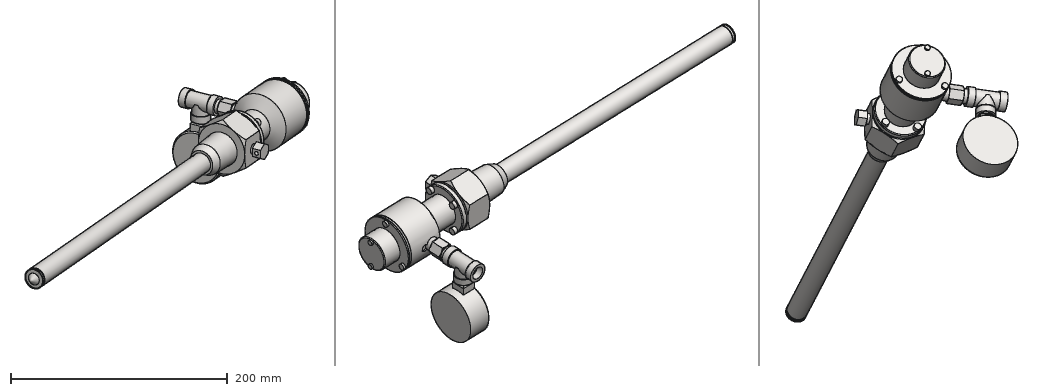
import cadquery as cq
import math

TOTAL_LENGTH = 468.5

ROD_DIA = 19.5
TIP_DIA = 11.5
TIP_LENGTH = TIP_DIA / 2
ROD_GROOVE_DIA = 18.3
ROD_GROOVE_START = 6.5
ROD_GROOVE_END = 9.5

NOSE_START = 302.5
NOSE_DIA = 24.5
TAPER_START = 310.5
TAPER_SMALL_DIA = 31.0
TAPER_LARGE_DIA = 33.5

NUT_START = 338.0
NUT_END = 366.2
NUT_FLATS = 50.0
HEX_BEVEL_ANGLE = 30
JOINT_DIA = 44.0
FLANGE_START = 368.0
FLANGE_END = 373.5
FLANGE_DIA = NUT_FLATS
FLANGE_EDGE_CHAMFER = 1.0
FLANGE_SCREW_CIRCLE = 43.0
FLANGE_SCREW_DIA = 7.0
FLANGE_SCREW_HEIGHT = 4.0

NECK_DIA = 31.5
SHOULDER_START = 398.0
BODY_START = 405.5
BODY_DIA = 57.0
COVER_GROOVE_START = 442.5
COVER_GROOVE_END = 445.0
COVER_GROOVE_DEPTH = 0.5
COVER_END = 447.0
COVER_SCREW_CIRCLE = 50.5
COVER_SCREW_DIA = 6.0
COVER_SCREW_HEIGHT = 2.5

CAP_DIA = 35.0
CAP_END = 466.5
CAP_EDGE_CHAMFER = 1.0
CAP_SCREW_CIRCLE = 28.0
CAP_SCREW_DIA = 5.0

RECESS_Y = 425.3
RECESS_DIA = 7.0
RECESS_DEPTH = 2.0

PLUG_Y = 353.5
PLUG_FLATS = 14.0
PLUG_START = 28.0
PLUG_END = 37.0
PLUG_STEM_DIA = 10.5
PLUG_HOLE_DIA = 3.7

BRANCH_Y = 416.0
STEM_DIA = 14.0
BRANCH_HEX_FLATS = 16.0
BRANCH_HEX_INNER = -33.3
BRANCH_HEX_OUTER = -47.5
TEE_X = -70.0
TEE_HALF_LENGTH = 18.5
TEE_DIA = 16.5
TEE_BAND_DIA = 18.5
TEE_BAND_WIDTH = 7.0
TEE_BORE_DIA = 12.5
TEE_BORE_DEPTH = 7.0

LEG_DIA = 17.0
LEG_BAND_TOP = -11.2
LEG_BAND_BOTTOM = -18.3
SHANK_TOP = -19.5
SHANK_TOP_CHAMFER = 1.5
SHANK_SIDE = 14.5
GAUGE_Z = -54.0
GAUGE_DIA = 52.5
GAUGE_FRONT = 407.5
GAUGE_BACK = 432.5
GAUGE_RIM_CHAMFER = 1.5


def rod_along_y(dia, start, end, x=0.0, z=0.0):
    plane = cq.Plane(origin=(x, start, z), xDir=(1, 0, 0), normal=(0, 1, 0))
    return cq.Workplane(plane).circle(dia / 2).extrude(end - start)


def rod_along_x(dia, start, end, y):
    return cq.Workplane("YZ", origin=(start, y, 0)).circle(dia / 2).extrude(end - start)


def leg_along_z(dia, top, bottom):
    return cq.Workplane("XY", origin=(TEE_X, BRANCH_Y, top)).circle(dia / 2).extrude(bottom - top)


def turned_stack():
    """Everything revolved about the main axis, from the tip up to the cap."""
    outline = [
        (0, 0),
        (TIP_DIA / 2, TIP_LENGTH),
        (ROD_DIA / 2, TIP_LENGTH),
        (ROD_DIA / 2, ROD_GROOVE_START),
        (ROD_GROOVE_DIA / 2, ROD_GROOVE_START),
        (ROD_GROOVE_DIA / 2, ROD_GROOVE_END),
        (ROD_DIA / 2, ROD_GROOVE_END),
        (ROD_DIA / 2, NOSE_START),
        (NOSE_DIA / 2, NOSE_START),
        (TAPER_SMALL_DIA / 2, TAPER_START),
        (TAPER_LARGE_DIA / 2, NUT_START),
        (JOINT_DIA / 2, NUT_START),
        (JOINT_DIA / 2, FLANGE_START),
        (FLANGE_DIA / 2, FLANGE_START),
        (FLANGE_DIA / 2, FLANGE_END - FLANGE_EDGE_CHAMFER),
        (FLANGE_DIA / 2 - FLANGE_EDGE_CHAMFER, FLANGE_END),
        (NECK_DIA / 2, FLANGE_END),
        (NECK_DIA / 2, SHOULDER_START),
        (BODY_DIA / 2, BODY_START),
        (BODY_DIA / 2, COVER_GROOVE_START),
        (BODY_DIA / 2 - COVER_GROOVE_DEPTH, COVER_GROOVE_START),
        (BODY_DIA / 2 - COVER_GROOVE_DEPTH, COVER_GROOVE_END),
        (BODY_DIA / 2, COVER_GROOVE_END),
        (BODY_DIA / 2, COVER_END),
        (CAP_DIA / 2, COVER_END),
        (CAP_DIA / 2, CAP_END - CAP_EDGE_CHAMFER),
        (CAP_DIA / 2 - CAP_EDGE_CHAMFER, CAP_END),
        (0, CAP_END),
    ]
    return cq.Workplane("XY").polyline(outline).close().revolve(360, (0, 0), (0, 1))


def hexagon(plane, flats, length, bevel_near=False, bevel_far=False):
    """Hexagon with a corner on local X; a bevelled end is turned down to a circle touching the flats."""
    corner_radius = flats / math.sqrt(3)
    prism = cq.Workplane(plane).polygon(6, 2 * corner_radius).extrude(length)
    bevel_length = (corner_radius - flats / 2) * math.tan(math.radians(HEX_BEVEL_ANGLE))
    near_radius = flats / 2 if bevel_near else corner_radius
    far_radius = flats / 2 if bevel_far else corner_radius
    outline = [(0, 0), (near_radius, 0)]
    if bevel_near:
        outline.append((corner_radius, bevel_length))
    if bevel_far:
        outline.append((corner_radius, length - bevel_length))
    outline += [(far_radius, length), (0, length)]
    half_plane = cq.Plane(origin=plane.origin, xDir=plane.xDir, normal=-plane.yDir)
    turned = cq.Workplane(half_plane).polyline(outline).close().revolve(360, (0, 0), (0, 1))
    return prism.intersect(turned)


def union_nut():
    plane = cq.Plane(origin=(0, NUT_START, 0), xDir=(0, 0, 1), normal=(0, 1, 0))
    return hexagon(plane, NUT_FLATS, NUT_END - NUT_START, bevel_near=True, bevel_far=True)


def screw_heads(count, first_angle, circle_dia, head_dia, start, end):
    """Round heads evenly spaced about the main axis; the angle is measured from +X towards +Z."""
    heads = cq.Workplane("XY")
    for i in range(count):
        angle = math.radians(first_angle + i * 360 / count)
        x = circle_dia / 2 * math.cos(angle)
        z = circle_dia / 2 * math.sin(angle)
        heads = heads.add(rod_along_y(head_dia, start, end, x, z))
    return heads.combine()


def vent_plug():
    plane = cq.Plane(origin=(PLUG_START, PLUG_Y, 0), xDir=(0, 0, 1), normal=(1, 0, 0))
    head = hexagon(plane, PLUG_FLATS, PLUG_END - PLUG_START)
    hole_x = (PLUG_START + PLUG_END) / 2
    hole = rod_along_y(PLUG_HOLE_DIA, PLUG_Y - PLUG_FLATS, PLUG_Y, hole_x)
    return head.cut(hole).union(rod_along_x(PLUG_STEM_DIA, 0, PLUG_START, PLUG_Y))


def side_branch():
    tee_outer = TEE_X - TEE_HALF_LENGTH
    tee_inner = TEE_X + TEE_HALF_LENGTH
    hex_plane = cq.Plane(origin=(BRANCH_HEX_INNER, BRANCH_Y, 0), xDir=(0, 1, 0), normal=(-1, 0, 0))
    hex_length = BRANCH_HEX_INNER - BRANCH_HEX_OUTER
    branch = rod_along_x(TEE_DIA, tee_outer, tee_inner, BRANCH_Y)
    branch = branch.union(rod_along_x(TEE_BAND_DIA, tee_outer, tee_outer + TEE_BAND_WIDTH, BRANCH_Y))
    branch = branch.union(rod_along_x(TEE_BAND_DIA, tee_inner - TEE_BAND_WIDTH, tee_inner, BRANCH_Y))
    branch = branch.union(rod_along_x(STEM_DIA, TEE_X, 0, BRANCH_Y))
    branch = branch.union(hexagon(hex_plane, BRANCH_HEX_FLATS, hex_length, bevel_far=True))
    branch = branch.union(leg_along_z(LEG_DIA, 0, LEG_BAND_TOP))
    branch = branch.union(leg_along_z(TEE_BAND_DIA, LEG_BAND_TOP, LEG_BAND_BOTTOM))
    branch = branch.union(leg_along_z(STEM_DIA, LEG_BAND_BOTTOM, SHANK_TOP))
    return branch.cut(rod_along_x(TEE_BORE_DIA, tee_outer, tee_outer + TEE_BORE_DEPTH, BRANCH_Y))


def gauge():
    shank = (
        cq.Workplane("XY", origin=(TEE_X, BRANCH_Y, SHANK_TOP))
        .rect(SHANK_SIDE, SHANK_SIDE)
        .extrude(GAUGE_Z - SHANK_TOP)
        .faces(">Z")
        .chamfer(SHANK_TOP_CHAMFER)
    )
    case = rod_along_y(GAUGE_DIA, GAUGE_FRONT, GAUGE_BACK, TEE_X, GAUGE_Z)
    return case.faces("<Y").chamfer(GAUGE_RIM_CHAMFER).union(shank)


flange_screws = screw_heads(
    4, 45, FLANGE_SCREW_CIRCLE, FLANGE_SCREW_DIA, FLANGE_END, FLANGE_END + FLANGE_SCREW_HEIGHT
)
cover_screws = screw_heads(
    3, 90, COVER_SCREW_CIRCLE, COVER_SCREW_DIA, COVER_END, COVER_END + COVER_SCREW_HEIGHT
)
cap_screws = screw_heads(2, 90, CAP_SCREW_CIRCLE, CAP_SCREW_DIA, CAP_END, TOTAL_LENGTH)
recess = rod_along_x(RECESS_DIA, -BODY_DIA / 2, -BODY_DIA / 2 + RECESS_DEPTH, RECESS_Y)

result = turned_stack().cut(recess)
for feature in (union_nut(), flange_screws, cover_screws, cap_screws, vent_plug(), side_branch(), gauge()):
    result = result.union(feature)